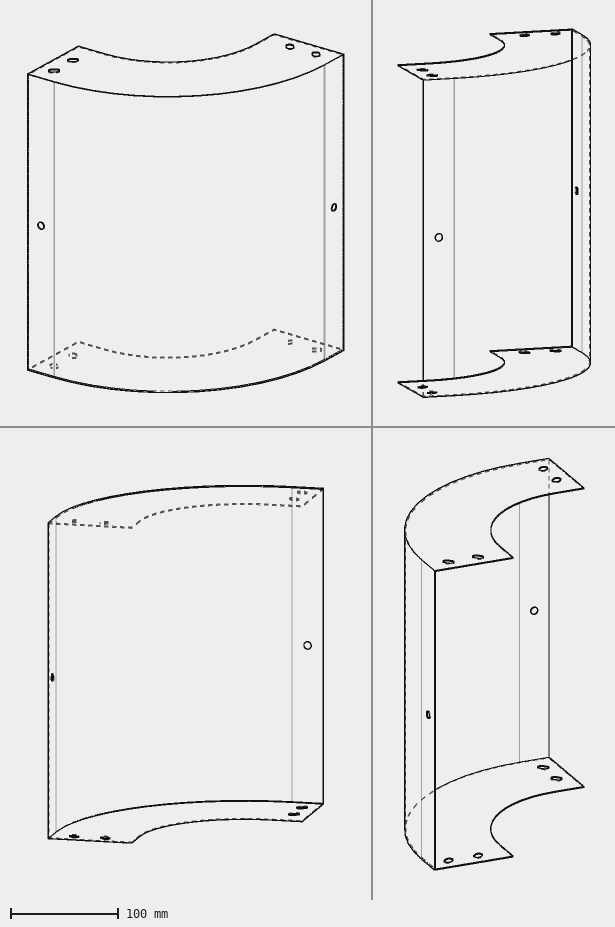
import cadquery as cq

height = 300.0
outer_size = 210.0
straight_length = 30.0
flange_width = 80.0
sheet = 1.0

outer_radius = outer_size - straight_length
bend_center_y = outer_size - straight_length

hole_diameter = 7.0
slot_length = 10.5
slot_angle = 45.0
hole_end_distance = straight_length / 2
first_slot_clearance = 20.0
slot_spacing = 30.0
first_slot_offset = sheet + first_slot_clearance
slot_offsets = (first_slot_offset, first_slot_offset + slot_spacing)


def curved_band(width, band_height):
    """Quarter-turn band with straight ends, its width measured inwards from the outer edge."""
    inner_edge_x = outer_size - width
    inner_radius = outer_radius - width
    return (
        cq.Workplane("XY")
        .lineTo(straight_length, 0)
        .radiusArc((outer_size, bend_center_y), -outer_radius)
        .lineTo(outer_size, outer_size)
        .lineTo(inner_edge_x, outer_size)
        .lineTo(inner_edge_x, bend_center_y)
        .radiusArc((straight_length, width), inner_radius)
        .lineTo(0, width)
        .close()
        .extrude(band_height)
    )


def slot_row(points, angle):
    """Obround cutters through one flange thickness, turned by angle from the X axis."""
    return cq.Workplane("XY").pushPoints(points).slot2D(slot_length, hole_diameter, angle).extrude(sheet)


def slotted_flange(bottom_z, x_end_angle):
    """Flange with two diagonal slots at each end; the two ends slant opposite ways."""
    x_end_points = [(hole_end_distance, offset) for offset in slot_offsets]
    y_end_points = [(outer_size - offset, outer_size - hole_end_distance) for offset in slot_offsets]
    flange = (
        curved_band(flange_width, sheet)
        .cut(slot_row(x_end_points, x_end_angle))
        .cut(slot_row(y_end_points, -x_end_angle))
    )
    return flange.translate((0, 0, bottom_z))


def drilled_wall():
    """Outer wall with one round hole at mid height in each straight run."""
    hole_radius = hole_diameter / 2
    x_end_hole = (
        cq.Workplane("XZ")
        .center(hole_end_distance, height / 2)
        .circle(hole_radius)
        .extrude(-sheet)
    )
    y_end_hole = (
        cq.Workplane("YZ", origin=(outer_size - sheet, 0, 0))
        .center(outer_size - hole_end_distance, height / 2)
        .circle(hole_radius)
        .extrude(sheet)
    )
    return curved_band(sheet, height).cut(x_end_hole).cut(y_end_hole)


bottom_flange = slotted_flange(0, -slot_angle)
top_flange = slotted_flange(height - sheet, slot_angle)

result = drilled_wall().union(bottom_flange).union(top_flange).clean()